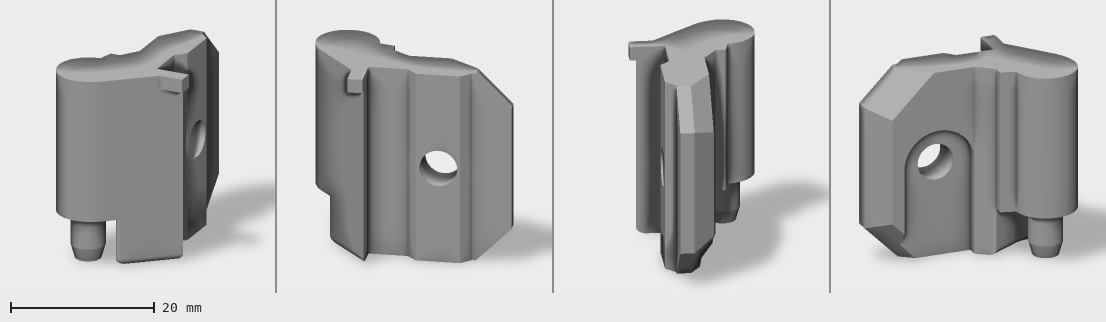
import cadquery as cq
import math

HEIGHT = 28.0
BARREL_RADIUS = 4.5
BARREL_BOTTOM = 7.02

PIN_RADIUS = 4.9 / 2
PIN_TIP_RADIUS = 1.88
PIN_TIP_LENGTH = 2.0

PLATE_FRONT = 3.5
PLATE_BACK = 8.5
PLATE_END = 24.5
CORNER_CUT = 5.0
BEVEL = 3.0

PAD_RISE = 1.4
PAD_START = 9.92
PAD_END = 18.95

NECK_TOP = (PLATE_FRONT, 9.22)
NECK_FOOT = (1.65, 6.7)
LEDGE_END = (0.25, NECK_FOOT[1])
LEDGE_FOOT_X = -0.25

WEDGE_TIP = (12.53, 4.38)
BLEND_START_X = 0.93
BLEND_END = (3.77, -3.02)

TAB_END = 13.4
TAB_WIDTH = 2.15
TAB_THICKNESS = 2.0

CLEARANCE_RADIUS = 4.93
CLEARANCE_START_ANGLE = 41.2
FIN_RADIUS = 0.5
BOTTOM_FILLET = 1.0

HOLE_DIAMETER = 5.3
RECESS_RADIUS = 5.25
RECESS_DEPTH = 1.5
HOLE_Y = NECK_TOP[1] + RECESS_RADIUS
HOLE_Z = HEIGHT / 2

TOLERANCE = 0.03


def on_circle(radius, angle):
    """Point at an angle in radians on a circle around the pin axis."""
    return (radius * math.cos(angle), radius * math.sin(angle))


def add_plate_outline(sketch):
    """Continue an outline from the wedge tip around the plate to the foot of the neck."""
    pad_face = PLATE_BACK + PAD_RISE
    return (
        sketch.lineTo(PLATE_BACK, WEDGE_TIP[1])
        .lineTo(PLATE_BACK, PAD_START)
        .lineTo(pad_face, PAD_START + PAD_RISE)
        .lineTo(pad_face, PAD_END - PAD_RISE)
        .lineTo(PLATE_BACK, PAD_END)
        .lineTo(PLATE_BACK, PLATE_END)
        .lineTo(PLATE_FRONT, PLATE_END)
        .lineTo(*NECK_TOP)
        .lineTo(*NECK_FOOT)
    )


def make_upper_body():
    """Plate, neck and barrel above the clearance."""
    ledge_foot = (LEDGE_FOOT_X, math.sqrt(BARREL_RADIUS**2 - LEDGE_FOOT_X**2))
    blend_start = (BLEND_START_X, -math.sqrt(BARREL_RADIUS**2 - BLEND_START_X**2))
    outline = add_plate_outline(cq.Workplane("XY", origin=(0, 0, BARREL_BOTTOM)).moveTo(*WEDGE_TIP))
    outline = (
        outline.lineTo(*LEDGE_END)
        .lineTo(*ledge_foot)
        .threePointArc((-BARREL_RADIUS, 0), blend_start)
        .tangentArcPoint(BLEND_END, relative=False)
        .close()
    )
    return outline.extrude(HEIGHT - BARREL_BOTTOM)


def make_lower_body():
    """Plate and wedge beside the pin, with a rounded fin where the clearance meets the slope."""
    slope = math.atan2(WEDGE_TIP[1] - BLEND_END[1], WEDGE_TIP[0] - BLEND_END[0])
    along = (math.cos(slope), math.sin(slope))
    inward = (-along[1], along[0])

    fin_offset = WEDGE_TIP[0] * inward[0] + WEDGE_TIP[1] * inward[1] + FIN_RADIUS
    fin_distance = CLEARANCE_RADIUS + FIN_RADIUS
    fin_travel = math.sqrt(fin_distance**2 - fin_offset**2)
    fin_x = inward[0] * fin_offset + along[0] * fin_travel
    fin_y = inward[1] * fin_offset + along[1] * fin_travel
    fin_angle = math.atan2(fin_y, fin_x)
    fin_end = (fin_x - inward[0] * FIN_RADIUS, fin_y - inward[1] * FIN_RADIUS)

    start_angle = math.radians(CLEARANCE_START_ANGLE)
    clearance_start = on_circle(CLEARANCE_RADIUS, start_angle)
    clearance_middle = on_circle(CLEARANCE_RADIUS, (start_angle + fin_angle) / 2)
    clearance_end = on_circle(CLEARANCE_RADIUS, fin_angle)

    outline = add_plate_outline(cq.Workplane("XY").moveTo(*WEDGE_TIP))
    outline = (
        outline.lineTo(*clearance_start)
        .threePointArc(clearance_middle, clearance_end)
        .threePointArc((fin_x - FIN_RADIUS * along[0], fin_y - FIN_RADIUS * along[1]), fin_end)
        .close()
    )
    body = outline.extrude(BARREL_BOTTOM)

    rounded = cq.selectors.BoxSelector(
        (NECK_FOOT[0], -BARREL_RADIUS, -TOLERANCE),
        (PLATE_BACK + PAD_RISE, NECK_FOOT[1], TOLERANCE),
    )
    return body.edges(rounded).fillet(BOTTOM_FILLET)


def make_tab():
    return cq.Workplane("XY").box(
        TAB_END - PLATE_BACK, TAB_WIDTH, TAB_THICKNESS, centered=False
    ).translate((PLATE_BACK, WEDGE_TIP[1] - TAB_WIDTH, HEIGHT - TAB_THICKNESS))


def make_pin():
    """Pin with a tapered tip, revolved around the Z axis."""
    return (
        cq.Workplane("XZ")
        .polyline(
            [
                (0, 0),
                (PIN_TIP_RADIUS, 0),
                (PIN_RADIUS, PIN_TIP_LENGTH),
                (PIN_RADIUS, BARREL_BOTTOM),
                (0, BARREL_BOTTOM),
            ]
        )
        .close()
        .revolve(360, (0, 0, 0), (0, 1, 0))
    )


def shape_plate_end(body):
    """Cut the two corners of the plate, then bevel its front edges at 45 degrees."""
    corners = cq.selectors.BoxSelector(
        (PLATE_FRONT, PLATE_END - TOLERANCE, -TOLERANCE),
        (PLATE_BACK, PLATE_END + TOLERANCE, HEIGHT + TOLERANCE),
    )
    body = body.edges("|X").edges(corners).chamfer(CORNER_CUT)
    front_edges = cq.selectors.BoxSelector(
        (PLATE_FRONT - TOLERANCE, PLATE_END - CORNER_CUT, 0),
        (PLATE_FRONT + TOLERANCE, PLATE_END + TOLERANCE, HEIGHT),
    )
    return body.edges(front_edges).chamfer(BEVEL)


def cut_screw_hole(body):
    """Drill the hole through the plate and sink the round-topped recess around it."""
    plane = cq.Workplane("YZ", origin=(PLATE_FRONT, HOLE_Y, HOLE_Z))
    hole = plane.circle(HOLE_DIAMETER / 2).extrude(PLATE_BACK + PAD_RISE - PLATE_FRONT)
    recess = (
        plane.moveTo(RECESS_RADIUS, -HOLE_Z)
        .lineTo(RECESS_RADIUS, 0)
        .threePointArc((0, RECESS_RADIUS), (-RECESS_RADIUS, 0))
        .lineTo(-RECESS_RADIUS, -HOLE_Z)
        .close()
        .extrude(RECESS_DEPTH)
    )
    return body.cut(hole).cut(recess)


body = make_upper_body().union(make_lower_body()).union(make_tab()).union(make_pin()).clean()
result = cut_screw_hole(shape_plate_end(body))